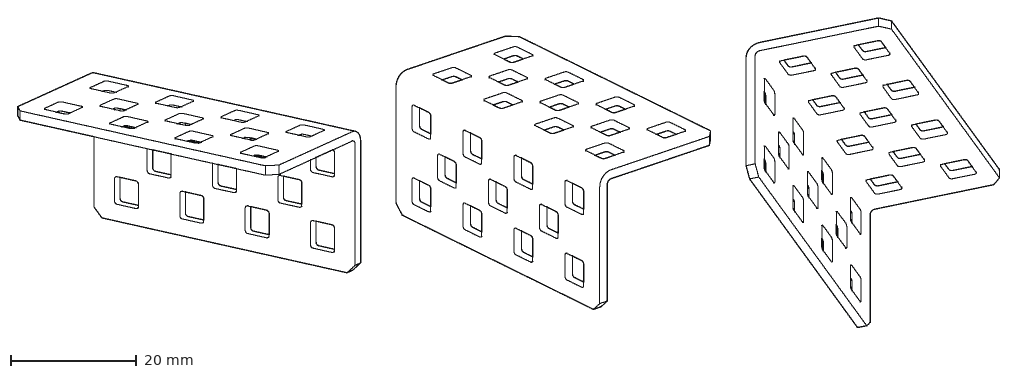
import cadquery as cq

length = 50.8
leg = 24.25
thickness = 1.6
inner_bend_radius = 0.75
outer_bend_radius = inner_bend_radius + thickness
corner_chamfer = 1.6

hole_size = 4.6
hole_corner_radius = 0.45
pitch = length / 4
half_pitch = pitch / 2
outer_row_x = [(i - 1.5) * pitch for i in range(4)]
middle_row_x = [(i - 1) * pitch for i in range(3)]
hole_centres = (
    [(x, half_pitch) for x in outer_row_x]
    + [(x, 2 * half_pitch) for x in middle_row_x]
    + [(x, 3 * half_pitch) for x in outer_row_x]
)


def angle_blank():
    """Bent sheet with its outer faces on Y = 0 and Z = 0."""
    profile = (
        cq.Workplane("YZ", origin=(-length / 2, 0, 0))
        .moveTo(0, 0)
        .lineTo(-leg, 0)
        .lineTo(-leg, -thickness)
        .lineTo(-thickness, -thickness)
        .lineTo(-thickness, -leg)
        .lineTo(0, -leg)
        .close()
    )
    blank = profile.extrude(length)
    inner_edge = cq.selectors.NearestToPointSelector((0, -thickness, -thickness))
    outer_edge = cq.selectors.NearestToPointSelector((0, 0, 0))
    blank = blank.edges("|X").edges(inner_edge).fillet(inner_bend_radius)
    return blank.edges("|X").edges(outer_edge).fillet(outer_bend_radius)


def chamfer_free_corners(body):
    """Cut the two corners at the free end of each leg."""
    body = body.faces("<Y").edges("|Z").chamfer(corner_chamfer)
    return body.faces("<Z").edges("|Y").chamfer(corner_chamfer)


def hole_cutters():
    """Rounded square bars that pierce the top leg, flush with its faces."""
    return (
        cq.Workplane("XY", origin=(0, 0, -thickness))
        .pushPoints([(x, -distance) for x, distance in hole_centres])
        .rect(hole_size, hole_size)
        .extrude(thickness)
        .edges("|Z")
        .fillet(hole_corner_radius)
    )


top_leg_cutters = hole_cutters()
turned_cutters = top_leg_cutters.rotate((0, 0, 0), (1, 0, 0), 90)
upright_leg_cutters = turned_cutters.translate((0, -thickness, 0))

result = chamfer_free_corners(angle_blank()).cut(top_leg_cutters).cut(upright_leg_cutters)